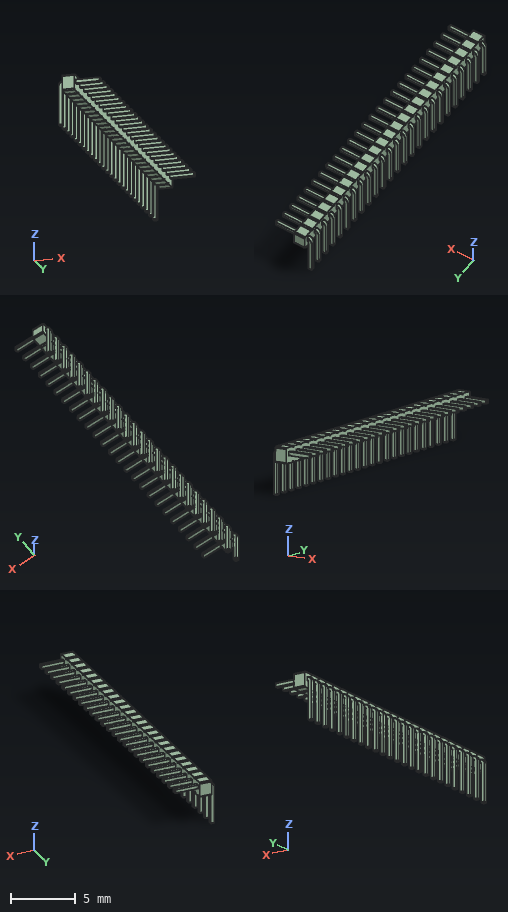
import cadquery as cq

pin_count = 25
pitch = 1.0
housing_width = 1.0
housing_height = 1.28
housing_chamfer_y = 0.1
housing_chamfer_z = 0.1

pin_width = 0.3
pin_reach = 3.4
pin_top_drop = 0.35
bend_inner_radius = 0.12
bend_outer_radius = bend_inner_radius + pin_width
tip_chamfer = 0.08

total_height = 3.95
housing_x = 0.4
housing_bottom = total_height - housing_height
pin_top = total_height - pin_top_drop


def pin_y(index):
    """Y position of a pin, with the row centred on the origin."""
    return (index - (pin_count - 1) / 2) * pitch


def make_block(y):
    """One housing block, chamfered along its four X edges."""
    half_pitch = pitch / 2
    half_flat = half_pitch - housing_chamfer_y
    shoulder_low = housing_bottom + housing_chamfer_z
    shoulder_high = total_height - housing_chamfer_z
    profile = [
        (y - half_flat, housing_bottom),
        (y + half_flat, housing_bottom),
        (y + half_pitch, shoulder_low),
        (y + half_pitch, shoulder_high),
        (y + half_flat, total_height),
        (y - half_flat, total_height),
        (y - half_pitch, shoulder_high),
        (y - half_pitch, shoulder_low),
    ]
    return cq.Workplane("YZ", origin=(housing_x, 0, 0)).polyline(profile).close().extrude(housing_width)


def make_pin():
    """One right-angle pin centred on Y = 0, rounded through the bend and chamfered at both tips."""
    pin = (
        cq.Workplane("XZ")
        .moveTo(0, 0)
        .lineTo(pin_width, 0)
        .lineTo(pin_width, pin_top - bend_outer_radius)
        .radiusArc((bend_outer_radius, pin_top - pin_width), bend_inner_radius)
        .lineTo(pin_reach, pin_top - pin_width)
        .lineTo(pin_reach, pin_top)
        .lineTo(bend_outer_radius, pin_top)
        .radiusArc((0, pin_top - bend_outer_radius), -bend_outer_radius)
        .close()
        .extrude(pin_width / 2, both=True)
    )
    return pin.faces("<Z or >X").chamfer(tip_chamfer)


pin = make_pin()
result = cq.Workplane("XY")
for index in range(pin_count):
    y = pin_y(index)
    result = result.union(make_block(y)).union(pin.translate((0, y, 0)))